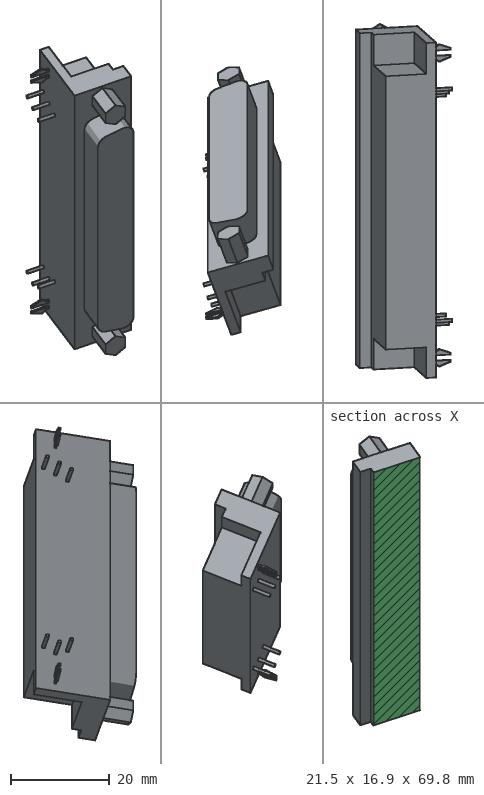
import cadquery as cq
import math


length = 69.8
housing_depth = 15.5
flange_height = 12.9
flange_thickness = 3.5
block_height = 10.55
recess_length = 6.4
recess_depth = 10.05
foot_thickness = 2.0

mating_height = 6.35
shell_reach = 21.5
shell_height = 8.2
shell_board_side_flat = 49.15
shell_corner_radius = 2.3
shell_side_angle = 10.0

fastener_offset = 31.75
nut_reach = 21.35
nut_across_corners = 5.25

pin_diameter = 0.7
pin_length = 3.7
middle_row_x = 4.05
row_spacing = 2.5
pin_outer_z = 24.7
pin_step = 1.2

clip_x = 4.0
clip_width = 0.4
clip_length = 4.05
clip_slot_half = 0.55
clip_root_half = 1.1
clip_barb_half = 1.8
clip_tip_half = 0.9
clip_barb_start = 0.7
clip_barb_peak = 1.6


def make_housing():
    profile = [
        (0, 0),
        (housing_depth, 0),
        (housing_depth, flange_height),
        (housing_depth - flange_thickness, flange_height),
        (housing_depth - flange_thickness, block_height),
        (0, block_height),
    ]
    housing = cq.Workplane("XY").polyline(profile).close().extrude(length / 2, both=True)
    for start in (-length / 2, length / 2 - recess_length):
        recess = cq.Workplane("XY").box(
            recess_depth, block_height - foot_thickness, recess_length, centered=False
        )
        housing = housing.cut(recess.translate((0, foot_thickness, start)))
    return housing


def make_shell():
    slope = math.tan(math.radians(shell_side_angle))
    corner_run = shell_corner_radius * math.tan(math.radians(90 - shell_side_angle) / 2)
    near_half = shell_board_side_flat / 2 + corner_run
    far_half = near_half + shell_height * slope
    near_y = mating_height - shell_height / 2
    far_y = mating_height + shell_height / 2
    outline = [(near_y, -near_half), (far_y, -far_half), (far_y, far_half), (near_y, near_half)]
    shell = cq.Workplane("YZ", origin=(housing_depth, 0, 0)).polyline(outline).close()
    return shell.extrude(shell_reach - housing_depth).edges("|X").fillet(shell_corner_radius)


def make_nut(z):
    nut = cq.Workplane("YZ", origin=(housing_depth, mating_height, z)).transformed(rotate=(0, 0, 90))
    return nut.polygon(6, nut_across_corners).extrude(nut_reach - housing_depth)


def make_pin(x, z):
    return cq.Workplane("XZ", origin=(x, 0, z)).circle(pin_diameter / 2).extrude(pin_length)


def make_clip_prong(z, side):
    profile = [
        (0, clip_slot_half),
        (0, clip_root_half),
        (-clip_barb_start, clip_root_half),
        (-clip_barb_peak, clip_barb_half),
        (-clip_length, clip_tip_half),
        (-clip_length, clip_slot_half),
    ]
    points = [(y, side * offset) for y, offset in profile]
    prong = cq.Workplane("YZ", origin=(clip_x, 0, z)).polyline(points).close()
    return prong.extrude(clip_width / 2, both=True)


result = make_housing().union(make_shell())

for fastener_z in (-fastener_offset, fastener_offset):
    result = result.union(make_nut(fastener_z))
    for prong_side in (-1, 1):
        result = result.union(make_clip_prong(fastener_z, prong_side))

rear_row_x = middle_row_x - row_spacing
front_row_x = middle_row_x + row_spacing
pin_positions = [
    (rear_row_x, pin_outer_z),
    (middle_row_x, pin_outer_z - pin_step),
    (front_row_x, pin_outer_z - 2 * pin_step),
    (rear_row_x, pin_step - pin_outer_z),
    (middle_row_x, -pin_outer_z),
    (front_row_x, pin_step - pin_outer_z),
]
for pin_x, pin_z in pin_positions:
    result = result.union(make_pin(pin_x, pin_z))